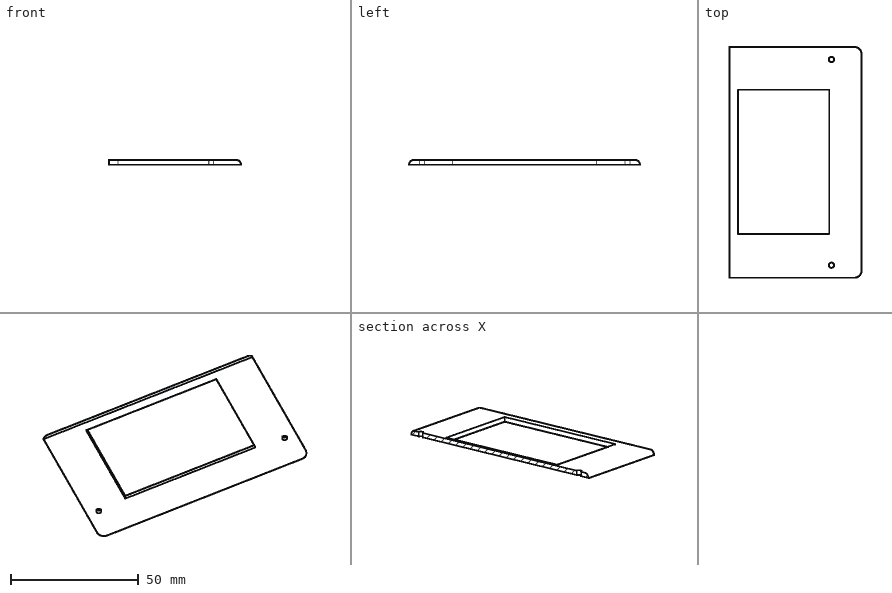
import cadquery as cq

length_x = 51.9
width_y = 90.5
thickness = 2.0
corner_radius = 3.0
edge_radius = thickness

window_left = 3.4
window_x = 35.7
window_y = 56.4
window_offset_y = 0.2

hole_diameter = 2.0
hole_x = 40.0
hole_spacing = 80.5


def rounded_plate():
    """Plate with quarter-round edges on three sides and a flat end at X = 0."""
    blank = (
        cq.Workplane("XY")
        .box(length_x, width_y, 2 * thickness, centered=(False, True, True))
        .edges("|Z and >X")
        .fillet(corner_radius)
    )
    rounded = blank.faces(">Z").edges("not <X").fillet(edge_radius)
    upper_half = cq.Workplane("XY").box(length_x, width_y, thickness, centered=(False, True, False))
    return rounded.intersect(upper_half)


def window():
    return (
        cq.Workplane("XY")
        .center(window_left + window_x / 2, window_offset_y)
        .rect(window_x, window_y)
        .extrude(thickness)
    )


def screw_holes():
    return (
        cq.Workplane("XY")
        .pushPoints([(hole_x, side * hole_spacing / 2) for side in (-1, 1)])
        .circle(hole_diameter / 2)
        .extrude(thickness)
    )


result = rounded_plate().cut(window()).cut(screw_holes())